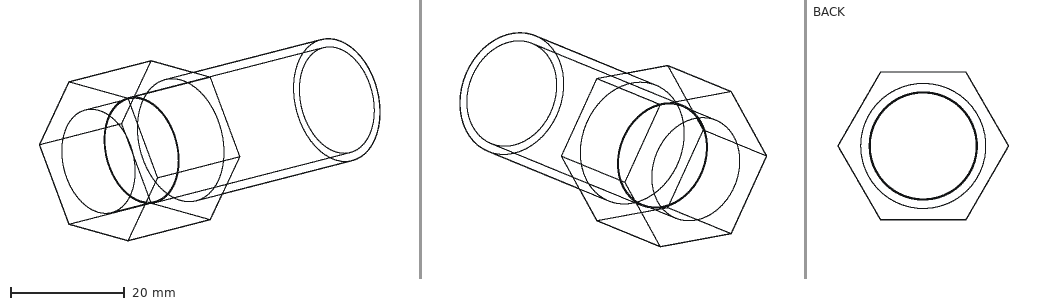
import cadquery as cq
import math

total_length = 58.0
head_length = 20.0
head_across_flats = 26.0
head_across_corners = head_across_flats / math.cos(math.pi / 6)
tube_diameter = 22.0
head_bore_diameter = 18.6
tube_bore_diameter = 19.0
head_bore_depth = 10.5


def cylinder(diameter, start, end):
    """Solid cylinder along +Y between two distances from the head face."""
    profile = cq.Workplane("XZ", origin=(0, start, 0)).circle(diameter / 2)
    return profile.extrude(start - end)


def hex_head():
    """Hexagonal prism with corners on the X axis and flats facing Z."""
    profile = cq.Workplane("XZ").polygon(6, head_across_corners)
    return profile.extrude(-head_length)


tube = cylinder(tube_diameter, head_length, total_length)
head_bore = cylinder(head_bore_diameter, 0, head_bore_depth)
tube_bore = cylinder(tube_bore_diameter, head_bore_depth, total_length)

result = hex_head().union(tube).cut(head_bore).cut(tube_bore)